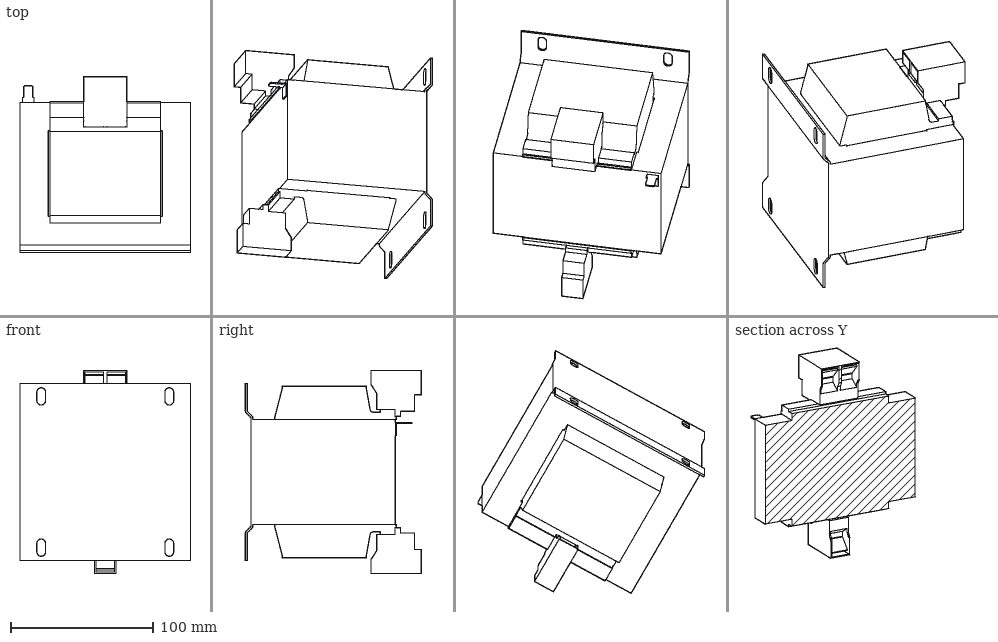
import cadquery as cq
import math


yoke = 20.0
core_width = 120.0
core_depth = 100.0
core_height = 73.9
core_back = 105.5
core_front = core_back - core_depth
core_top = core_height / 2
window_half_width = 2 * yoke
window_back = core_back - yoke
window_front = core_front + yoke

sheet = 1.4
foot_top = 62.2
plate_front = core_front - sheet
bend_z = 42.1
bend_inner_radius = 0.7
bend_outer_radius = bend_inner_radius + sheet
bend_angle = math.radians(45)
slot_width = 6.0
slot_length = 12.0
slot_x = 45.0
slot_z = 53.1

former_width = 77.6
former_front = 20.7
former_top = 60.4
former_top_front = 26.0
former_top_back = 85.0
former_edge_band = 1.3
former_front_band_top = 38.5
trough_floor = 42.1
trough_front = 88.0
trough_back = 94.8
trough_radius = 2.1
rail_top = 43.8
rail_back = 105.0
lip_back = 106.2
lip_top = 39.1

module_width = 15.3
module_back = 123.6
module_top = 71.4
module_wall = 1.07
module_nose = 88.2
module_throat = 92.3
funnel_floor_z = 52.0
flap_thickness = 1.3
flap_reach = 7.4
flap_root_y = 100.2
flap_root_z = 61.2
module_ledge_z = 54.2
module_body_back = 118.9
module_body_bottom = 42.7
hook_back = 109.0
chin_bottom = 55.1
chin_top = 61.5
funnel_back = 100.9
funnel_step_back = 99.2
funnel_step_top = 63.5
funnel_step_bottom = 60.0
funnel_floor_back_z = 56.2

tab_x = -54.1
tab_root_width = 8.1
tab_width = 6.4
tab_sheet = 0.9
tab_z = 34.4
tab_shoulder = 108.9
tab_end = 117.2
tab_leg_bottom = 25.5
tab_corner = 0.7


def side_prism(points, width, x_center=0.0):
    """Extrude a closed (Y, Z) outline along X, centred on x_center."""
    return (
        cq.Workplane("YZ", origin=(x_center - width / 2, 0, 0))
        .polyline(points)
        .close()
        .extrude(width)
    )


def block(x_range, y_range, z_range):
    """Box spanning the given ranges."""
    spans = [high - low for low, high in (x_range, y_range, z_range)]
    return cq.Workplane("XY", origin=(x_range[0], y_range[0], z_range[0])).box(*spans, centered=False)


def mirrored(solid):
    """Copy of a solid reflected to the underside."""
    return solid.mirror("XY")


def make_core():
    half_width = core_width / 2
    core = block((-half_width, half_width), (core_front, core_back), (-core_top, core_top))
    gap = block(
        (former_width / 2, window_half_width),
        (window_front, window_back),
        (-core_top, core_top),
    )
    return core.cut(gap).cut(gap.mirror("YZ"))


def make_mounting_plate():
    bend_rise = sheet * math.tan(bend_angle / 2)
    front_bends = [(0, bend_z), (plate_front, bend_z - plate_front)]
    rear_bends = [(y + sheet, z + bend_rise) for y, z in front_bends]
    upper_half = [
        (core_front, 0),
        *reversed(rear_bends),
        (sheet, foot_top),
        (0, foot_top),
        *front_bends,
        (plate_front, 0),
    ]
    half_plate = side_prism(upper_half, core_width)

    outer_corners = (front_bends[0], rear_bends[1])
    inner_corners = (rear_bends[0], front_bends[1])
    for corners, radius in ((outer_corners, bend_outer_radius), (inner_corners, bend_inner_radius)):
        for y, z in corners:
            bend_corner = cq.selectors.NearestToPointSelector((0, y, z))
            half_plate = half_plate.edges(bend_corner).fillet(radius)

    slots = (
        cq.Workplane("XZ")
        .pushPoints([(x, z) for x in (-slot_x, slot_x) for z in (-slot_z, slot_z)])
        .slot2D(slot_length, slot_width, 90)
        .extrude(-sheet)
    )
    return half_plate.union(mirrored(half_plate)).cut(slots)


def make_former_flange():
    outline = [
        (former_front, core_top),
        (former_front, former_front_band_top),
        (former_top_front, former_top - former_edge_band),
        (former_top_front, former_top),
        (former_top_back, former_top),
        (former_top_back, former_top - former_edge_band),
        (trough_front, trough_floor),
        (trough_back, trough_floor),
        (trough_back, rail_top),
        (rail_back, rail_top),
        (rail_back, lip_top),
        (lip_back, lip_top),
        (lip_back, core_top),
    ]
    trough_corner = cq.selectors.NearestToPointSelector((0, trough_front, trough_floor))
    return side_prism(outline, former_width).edges(trough_corner).fillet(trough_radius)


def make_terminal_module(x_center):
    housing_outline = [
        (module_nose, module_top),
        (module_back, module_top),
        (module_back, module_ledge_z),
        (module_body_back, module_ledge_z),
        (module_body_back, module_body_bottom),
        (hook_back, module_body_bottom),
        (hook_back, lip_top),
        (rail_back, lip_top),
        (rail_back, rail_top),
        (module_throat, rail_top),
        (module_throat, chin_bottom),
        (module_nose, chin_top),
    ]
    funnel_outline = [
        (module_nose, module_top - module_wall),
        (funnel_back, module_top - module_wall),
        (funnel_back, funnel_step_top),
        (funnel_step_back, funnel_step_bottom),
        (funnel_step_back, funnel_floor_back_z),
        (module_throat, funnel_floor_z),
        (module_nose, funnel_floor_z),
    ]
    flap_tip_y = flap_root_y - flap_reach
    flap_tip_z = flap_root_z + flap_reach
    flap_shift = flap_thickness / math.sqrt(2)
    flap_outline = [
        (flap_root_y, flap_root_z),
        (flap_tip_y, flap_tip_z),
        (flap_tip_y - flap_shift, flap_tip_z - flap_shift),
        (flap_root_y - flap_shift, flap_root_z - flap_shift),
    ]
    inner_width = module_width - 2 * module_wall
    housing = side_prism(housing_outline, module_width, x_center)
    funnel = side_prism(funnel_outline, inner_width, x_center)
    flap = side_prism(flap_outline, inner_width, x_center)
    return housing.cut(funnel).union(flap)


def make_earth_tab():
    blade_top = tab_z + tab_sheet / 2
    blade_bottom = tab_z - tab_sheet / 2
    leg_back = core_back + tab_sheet

    def across(width):
        return (tab_x - width / 2, tab_x + width / 2)

    leg = block(across(tab_root_width), (core_back, leg_back), (tab_leg_bottom, blade_top))
    root = block(across(tab_root_width), (core_back, tab_shoulder), (blade_bottom, blade_top))
    blade = block(across(tab_width), (core_back, tab_end), (blade_bottom, blade_top))
    blade = blade.edges("|Z and >Y").chamfer(tab_corner)
    return leg.union(root).union(blade)


flange = make_former_flange()

result = make_core().union(make_mounting_plate())
result = result.union(flange).union(mirrored(flange))
for module_x in (-module_width / 2, module_width / 2):
    result = result.union(make_terminal_module(module_x))
result = result.union(mirrored(make_terminal_module(0)))
result = result.union(make_earth_tab())